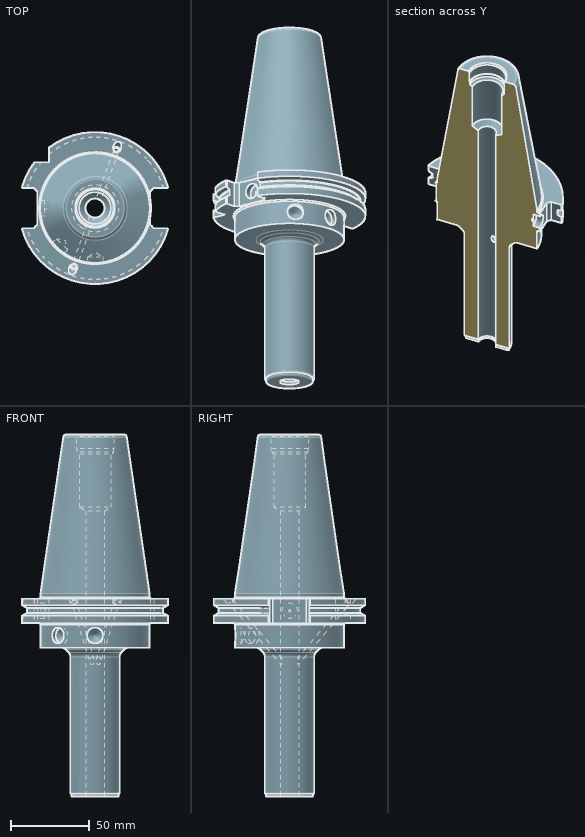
import cadquery as cq
import math

length = 231.5

gauge_z = 130.0
gauge_radius = 35.0
taper_slope = 7 / 48
taper_top_radius = gauge_radius - (length - gauge_z) * taper_slope
taper_top_fillet = 2.0
pilot_radius = 12.0
pilot_chamfer = 0.7
pilot_chamfer_depth = 1.2
pilot_depth = 8.8
relief_radius = 11.8
relief_depth = 11.1
thread_radius = 10.2
thread_start_depth = 12.5
thread_depth = 46.3
through_radius = 6.0

flange_radius = 48.6
flange_top_z = 126.7
flange_bottom_z = 111.0
flange_root_fillet = 1.0
groove_floor_fillet = 0.5
groove_z = 119.0
groove_floor_radius = 45.5
groove_mouth_half = 3.5
groove_floor_half = 1.6

keyway_half_width = 12.7
keyway_floor_left = 37.0
keyway_floor_right = 35.5
keyway_chamfer = 2.0
keyway_mouth_chamfer = 0.7
notch_corner = 29.5
chip_radius = 4.9
chip_depth = 4.6
chip_center_radius = 0.7
chip_center_depth = 1.0

coolant_pitch_radius = 41.7
coolant_angle = 70.0
coolant_slope = 42.0
coolant_mouth_radius = 2.5
coolant_mouth_depth = 3.0
coolant_radius = 1.6

collar_bottom_z = 95.2
balance_angles = (227.0, 270.0)
balance_z = 103.0
balance_radius = 5.0
balance_floor_radius = 31.3
balance_overshoot = 2.3
drill_point_half_angle = 59.0

shank_diameter = 31.7
shank_radius = shank_diameter / 2
shank_end_fillet = 0.7
shoulder_radius = 20.0
shoulder_fillet = 3.7
ring_radius = 15.0
ring_height = 1.9
ring_fillet = 0.5


def drill_point(radius):
    """Height of a drilled cone that narrows by the given radius."""
    return radius / math.tan(math.radians(drill_point_half_angle))


def revolved(points):
    """Solid of revolution about Z from a closed outline of (radius, z) points."""
    return cq.Workplane("XZ").polyline(points).close().revolve(360, (0, 0, 0), (0, 1, 0))


def taper():
    """Steep taper rising from the gauge line, rounded at its small end."""
    cone = revolved([
        (0, gauge_z),
        (gauge_radius, gauge_z),
        (taper_top_radius, length),
        (0, length),
    ])
    return cone.faces(">Z").edges().fillet(taper_top_fillet)


def flange():
    """Gripper flange with its V groove, two unequal keyways and the orientation notch."""
    mouth_top = groove_z + groove_mouth_half
    mouth_bottom = groove_z - groove_mouth_half
    disc = revolved([
        (0, flange_bottom_z),
        (flange_radius, flange_bottom_z),
        (flange_radius, mouth_bottom),
        (groove_floor_radius, groove_z - groove_floor_half),
        (groove_floor_radius, groove_z + groove_floor_half),
        (flange_radius, mouth_top),
        (flange_radius, flange_top_z),
        (0, flange_top_z),
    ])
    disc = disc.edges(cq.selectors.RadiusNthSelector(0)).fillet(groove_floor_fillet)
    disc = disc.cut(keyway(-1, keyway_floor_left))
    disc = disc.cut(keyway(1, keyway_floor_right))
    return disc.cut(notch())


def keyway(side, floor):
    """Slot through the flange, with beveled floor corners and a beveled mouth."""
    corner_half = keyway_half_width - keyway_chamfer
    mouth_half = keyway_half_width + keyway_mouth_chamfer
    mouth_x = math.sqrt(flange_radius ** 2 - mouth_half ** 2)
    upper = [
        (floor, corner_half),
        (floor + keyway_chamfer, keyway_half_width),
        (mouth_x - keyway_mouth_chamfer, keyway_half_width),
        (mouth_x, mouth_half),
        (flange_radius, mouth_half),
    ]
    lower = [(x, -y) for x, y in reversed(upper)]
    outline = [(side * x, y) for x, y in upper + lower]
    slot = cq.Workplane("XY", origin=(0, 0, flange_bottom_z)).polyline(outline).close()
    return slot.extrude(flange_top_z - flange_bottom_z)


def notch():
    """Square corner cut out of the -X, +Y edge of the flange."""
    size = flange_radius - notch_corner
    block = cq.Workplane("XY").box(size, size, flange_top_z - flange_bottom_z, centered=False)
    return block.translate((-flange_radius, notch_corner, flange_bottom_z))


def neck(face_z, end_z):
    """Cylinder standing on a flange face, with a concave fillet into that face."""
    rise = math.copysign(flange_root_fillet, end_z - face_z)
    middle = 1 - math.sqrt(0.5)
    return (
        cq.Workplane("XZ")
        .moveTo(0, face_z)
        .lineTo(gauge_radius + flange_root_fillet, face_z)
        .threePointArc(
            (gauge_radius + flange_root_fillet * middle, face_z + rise * middle),
            (gauge_radius, face_z + rise))
        .lineTo(gauge_radius, end_z)
        .lineTo(0, end_z)
        .close()
        .revolve(360, (0, 0, 0), (0, 1, 0))
    )


def shank():
    """Shank below a 45-degree shoulder that blends into the collar and the shank."""
    half_turn = math.radians(45 / 2)
    shoulder_trim = shoulder_fillet * math.tan(half_turn)
    trim_leg = shoulder_trim * math.sqrt(0.5)
    arc_along = shoulder_fillet * math.sin(half_turn)
    arc_across = shoulder_fillet * (1 - math.cos(half_turn))
    cone_end_z = collar_bottom_z - (shoulder_radius - shank_radius)
    profile = (
        cq.Workplane("XZ")
        .moveTo(0, collar_bottom_z)
        .lineTo(shoulder_radius + shoulder_trim, collar_bottom_z)
        .threePointArc(
            (shoulder_radius + shoulder_trim - arc_along, collar_bottom_z - arc_across),
            (shoulder_radius - trim_leg, collar_bottom_z - trim_leg))
        .lineTo(shank_radius + trim_leg, cone_end_z + trim_leg)
        .threePointArc(
            (shank_radius + arc_across, cone_end_z - shoulder_trim + arc_along),
            (shank_radius, cone_end_z - shoulder_trim))
        .lineTo(shank_radius, ring_height)
        .lineTo(0, ring_height)
        .close()
    )
    solid = profile.revolve(360, (0, 0, 0), (0, 1, 0))
    return solid.faces("<Z").edges().fillet(shank_end_fillet)


def bore():
    """Stepped bore: mouth bevel, pilot, relief, countersunk thread core and through hole."""
    thread_floor_z = length - thread_depth
    return revolved([
        (0, 0),
        (through_radius, 0),
        (through_radius, thread_floor_z - drill_point(thread_radius - through_radius)),
        (thread_radius, thread_floor_z),
        (thread_radius, length - thread_start_depth),
        (relief_radius, length - relief_depth),
        (relief_radius, length - pilot_depth),
        (pilot_radius, length - pilot_depth),
        (pilot_radius, length - pilot_chamfer_depth),
        (pilot_radius + pilot_chamfer, length),
        (0, length),
    ])


def chip_pocket():
    """Round data-chip pocket in the floor of the -X keyway, with a small center hole."""
    floor = cq.Workplane("YZ", origin=(-keyway_floor_left, 0, groove_z))
    pocket = floor.circle(chip_radius).extrude(chip_depth)
    center_hole = floor.circle(chip_center_radius).extrude(chip_depth + chip_center_depth)
    return pocket.union(center_hole)


def coolant_hole(angle):
    """Hole from the flange face sloping in to the bore axis, with a wider mouth."""
    around = math.radians(angle)
    slope = math.radians(coolant_slope)
    outward = cq.Vector(math.cos(around), math.sin(around), 0)
    inward = outward * -math.sin(slope) + cq.Vector(0, 0, -math.cos(slope))
    mouth = outward * coolant_pitch_radius + cq.Vector(0, 0, flange_top_z)
    overshoot = 2 * coolant_mouth_radius
    wide = cq.Solid.makeCylinder(
        coolant_mouth_radius, coolant_mouth_depth + overshoot, mouth - inward * overshoot, inward)
    narrow = cq.Solid.makeCylinder(
        coolant_radius, coolant_pitch_radius / math.sin(slope), mouth, inward)
    return cq.Workplane(wide.fuse(narrow))


def balance_hole(angle):
    """Radial hole in the collar with a conical end."""
    around = math.radians(angle)
    outward = cq.Vector(math.cos(around), math.sin(around), 0)
    height = cq.Vector(0, 0, balance_z)
    depth = gauge_radius + balance_overshoot - balance_floor_radius
    mouth = outward * (gauge_radius + balance_overshoot) + height
    floor = outward * balance_floor_radius + height
    straight = cq.Solid.makeCylinder(balance_radius, depth, mouth, -outward)
    tip = cq.Solid.makeCone(balance_radius, 0, drill_point(balance_radius), floor, -outward)
    return cq.Workplane(straight.fuse(tip))


def make_holder():
    """Tool holder: taper, flange, collar and shank in one piece."""
    body = flange().union(taper()).union(shank())
    body = body.union(neck(flange_top_z, gauge_z))
    body = body.union(neck(flange_bottom_z, collar_bottom_z))
    body = body.cut(bore()).cut(chip_pocket())
    for angle in (coolant_angle, coolant_angle + 180):
        body = body.cut(coolant_hole(angle))
    for angle in balance_angles:
        body = body.cut(balance_hole(angle))
    return body


def make_end_ring():
    """Ring that closes the lower end of the shank around the through hole."""
    disc = cq.Workplane("XY").circle(ring_radius).extrude(ring_height)
    return disc.faces("<Z").edges().fillet(ring_fillet).cut(bore())


holder = make_holder()
end_ring = make_end_ring()
result = cq.Compound.makeCompound([holder.val(), end_ring.val()])